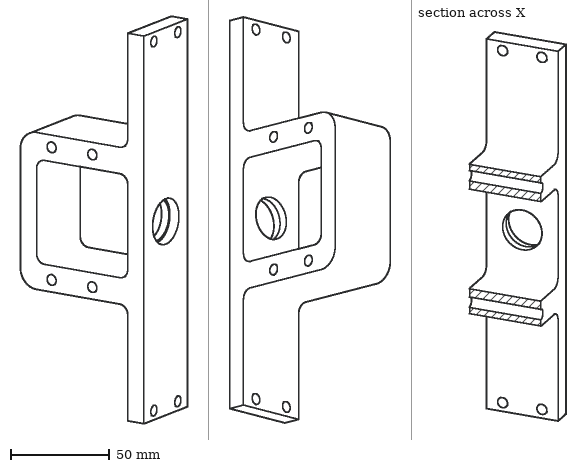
import cadquery as cq

plate_height = 205.0
depth = 40.0
overall_width = 76.0

wall = 10.0
loop_height = 83.0
window_height = 55.0
outer_radius = 10.0
inner_radius = 5.0
selection_margin = 0.2

screw_diameter = 5.5
side_hole_first_x = 19.3
side_hole_spacing = 25.0
side_hole_z = 35.0
plate_hole_spacing = 22.0
plate_hole_edge = 5.0
bore_diameter = 22.0
counterbore_diameter = 24.0
counterbore_depth = 5.5

plate_face_x = overall_width - wall


def block(x_start, x_end, height):
    """Box through the full depth, centred on Y and Z."""
    return cq.Workplane("XY").box(x_end - x_start, depth, height).translate(((x_start + x_end) / 2, 0, 0))


def rod_along_x(x_start, length, diameter, points):
    """Cylinders along X at the given (y, z) points."""
    return cq.Workplane("YZ", origin=(x_start, 0, 0)).pushPoints(points).circle(diameter / 2).extrude(length)


body = block(plate_face_x, overall_width, plate_height).union(block(0, overall_width, loop_height))
body = body.edges("|Y and <X").fillet(outer_radius)
inside_corners = cq.selectors.BoxSelector(
    (plate_face_x - selection_margin, -depth, -loop_height),
    (plate_face_x + selection_margin, depth, loop_height),
)
body = body.edges("|Y").edges(inside_corners).fillet(inner_radius)

window = block(wall, plate_face_x, window_height).edges("|Y").fillet(inner_radius)
body = body.cut(window)

side_points = [
    (x, z)
    for x in (side_hole_first_x, side_hole_first_x + side_hole_spacing)
    for z in (-side_hole_z, side_hole_z)
]
side_holes = (
    cq.Workplane("XZ").pushPoints(side_points).circle(screw_diameter / 2).extrude(depth, both=True)
)
body = body.cut(side_holes)

plate_hole_z = plate_height / 2 - plate_hole_edge
plate_points = [
    (y, z)
    for y in (-plate_hole_spacing / 2, plate_hole_spacing / 2)
    for z in (-plate_hole_z, plate_hole_z)
]
body = body.cut(rod_along_x(plate_face_x, wall, screw_diameter, plate_points))

body = body.cut(rod_along_x(plate_face_x, wall, bore_diameter, [(0, 0)]))
counterbore_floor_x = overall_width - counterbore_depth
body = body.cut(rod_along_x(counterbore_floor_x, counterbore_depth, counterbore_diameter, [(0, 0)]))

result = body